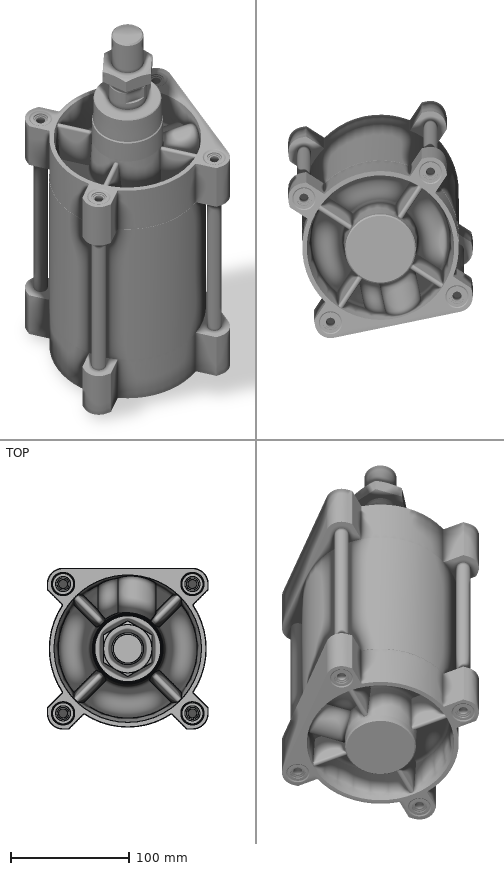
import cadquery as cq
import math

spigot_height = 6.2
cap_height = 44.5
barrel_length = 150.5
bearing_height = 22.0
collar_height = 25.0
total_height = 365.0
lower_cap_base = spigot_height
barrel_base = lower_cap_base + cap_height
upper_cap_base = barrel_base + barrel_length
upper_cap_top = upper_cap_base + cap_height
collar_base = upper_cap_top + bearing_height
collar_top = collar_base + collar_height

barrel_diameter = 133.0
cap_diameter = 132.5
cap_side = 136.0
lug_offset = 54.8
lug_half_width = 12.8
lug_radius = cap_side / 2 - lug_offset
lug_edge_radius = 1.0
tie_rod_diameter = 12.0
spigot_diameter = 60.0
spigot_chamfer = 1.0
collar_base_diameter = 58.5
collar_top_diameter = 57.3
collar_chamfer = 0.7

socket_rim_diameter = 19.7
socket_diameter = 18.0
socket_rim_depth = 0.7
socket_bore_diameter = 12.8
socket_bore_depth = 2.0
socket_seat_diameter = 10.2
socket_seat_depth = 2.5
socket_core_diameter = 7.5
socket_core_depth = 14.5

pocket_depth = 36.5
pocket_diameter = 125.0
hub_draft = 2.2
wall_draft = 3.5
pocket_floor_radius = 2.5
port_floor_depth = 31.0

rib_drop = 2.2
rib_top_width = 4.5
rib_base_width = 12.0

supply_boss = (7.5, 32.0, 7.3)
cushion_boss = (-12.8, 25.0, 20.0)

rod_diameter = 32.0
thread_diameter = 27.0
neck_diameter = 24.5
rod_shoulder = 311.0
thread_base = 314.0
thread_runout = 3.3
rod_end_chamfer = 1.28
flat_width = 27.0
flat_height = 11.3

nut_base = 319.7
nut_height = 12.8
nut_width = 41.0
nut_chamfer_height = 1.5

lug_centres = [(sx * lug_offset, sy * lug_offset) for sx in (-1, 1) for sy in (-1, 1)]


def port_sector():
    """Quarter wedge between the two diagonals on the +Y side."""
    return (
        cq.Workplane("XY")
        .polyline([(0, 0), (cap_side, cap_side), (-cap_side, cap_side)])
        .close()
        .extrude(cap_height)
    )


def lug_edge_points():
    """Places of the upright edges at the outer corners and roots of the lugs, save those on +Y."""
    corner = (cap_side / 2, cap_side / 2 - math.sqrt(2) * lug_half_width)
    root_angle = math.pi / 4 - math.asin(2 * lug_half_width / cap_diameter)
    root = (cap_diameter / 2 * math.cos(root_angle), cap_diameter / 2 * math.sin(root_angle))
    points = []
    for along, across in (corner, root):
        for side in (-1, 1):
            points.append((side * along, across))
            points.append((side * along, -across))
            points.append((side * across, -along))
    return points


def cap_blank():
    """Round cap with four diagonal lugs and one flat side on +Y."""
    square = (
        cq.Workplane("XY")
        .rect(cap_side, cap_side)
        .extrude(cap_height)
        .edges("|Z")
        .fillet(lug_radius)
    )
    blank = cq.Workplane("XY").circle(cap_diameter / 2).extrude(cap_height)
    for angle in (45, 135):
        arm = cq.Workplane("XY").rect(2 * cap_side, 2 * lug_half_width).extrude(cap_height)
        arm = arm.rotate((0, 0, 0), (0, 0, 1), angle)
        blank = blank.union(square.intersect(arm))
    blank = blank.union(square.intersect(port_sector()))
    for x, y in lug_edge_points():
        blank = blank.edges(cq.selectors.NearestToPointSelector((x, y, cap_height / 2)))
        blank = blank.fillet(lug_edge_radius)
    return blank


def pocket_ring(depth):
    """Ring-shaped pocket with drafted walls and rounded floor corners."""
    depth_ratio = depth / pocket_depth
    top = cap_height
    floor = cap_height - depth
    hub = spigot_diameter / 2
    wall = pocket_diameter / 2
    r = pocket_floor_radius
    bend = r * (1 - math.sqrt(0.5))
    hub_foot = hub + hub_draft * depth_ratio
    wall_foot = wall - wall_draft * depth_ratio
    return (
        cq.Workplane("XZ")
        .moveTo(hub, top)
        .lineTo(hub_foot, floor + r)
        .threePointArc((hub_foot + bend, floor + bend), (hub_foot + r, floor))
        .lineTo(wall_foot - r, floor)
        .threePointArc((wall_foot - bend, floor + bend), (wall_foot, floor + r))
        .lineTo(wall, top)
        .close()
        .revolve(360, (0, 0, 0), (0, 1, 0))
    )


def rib(angle):
    """Tapered rib with a round top that runs outward from the axis at the given angle."""
    half_top = rib_top_width / 2
    top = cap_height - rib_drop
    floor = cap_height - pocket_depth
    return (
        cq.Workplane("YZ")
        .moveTo(-rib_base_width / 2, floor)
        .lineTo(rib_base_width / 2, floor)
        .lineTo(half_top, top - half_top)
        .threePointArc((0, top), (-half_top, top - half_top))
        .close()
        .extrude(cap_side / 2)
        .rotate((0, 0, 0), (0, 0, 1), angle)
    )


def port_boss(x, diameter, crest_depth):
    """Round boss along +Y."""
    axis_height = cap_height - crest_depth - diameter / 2
    return (
        cq.Workplane("XZ")
        .center(x, axis_height)
        .circle(diameter / 2)
        .extrude(-cap_side / 2)
    )


def cap_pocket():
    """The space removed from the cap, leaving ribs, port bosses and a raised floor on +Y."""
    pocket = pocket_ring(pocket_depth).cut(port_sector())
    port_pocket = pocket_ring(port_floor_depth).intersect(port_sector())
    for boss in (supply_boss, cushion_boss):
        port_pocket = port_pocket.cut(port_boss(*boss))
    pocket = pocket.union(port_pocket)
    for angle in (45, 135, 225, 315):
        pocket = pocket.cut(rib(angle))
    return pocket


def tie_rod_socket(x, y):
    """Stepped socket with a conical rim, open at the outer face of the cap."""
    rim = socket_rim_diameter / 2
    top = cap_height
    profile = [
        (0, top),
        (rim, top),
        (socket_diameter / 2, top - socket_rim_depth),
        (socket_bore_diameter / 2, top - socket_rim_depth),
        (socket_bore_diameter / 2, top - socket_bore_depth),
        (socket_seat_diameter / 2, top - socket_bore_depth),
        (socket_seat_diameter / 2, top - socket_seat_depth),
        (socket_core_diameter / 2, top - socket_seat_depth),
        (socket_core_diameter / 2, top - socket_core_depth),
        (0, top - socket_core_depth),
    ]
    socket = cq.Workplane("XZ").polyline(profile).close().revolve(360, (0, 0, 0), (0, 1, 0))
    return socket.translate((x, y, 0))


def end_cap():
    """End cap with its inner face at Z = 0 and its outer face up."""
    cap = cap_blank().cut(cap_pocket())
    for x, y in lug_centres:
        cap = cap.cut(tie_rod_socket(x, y))
    return cap


def cylinder(diameter, base, height):
    return cq.Workplane("XY").workplane(offset=base).circle(diameter / 2).extrude(height)


def build_housing():
    """Barrel, both end caps, tie rods, rear spigot and rod bearing as one solid."""
    cap = end_cap()
    housing = cylinder(barrel_diameter, barrel_base, barrel_length)
    housing = housing.union(cap.translate((0, 0, upper_cap_base)))
    housing = housing.union(cap.mirror("XY").translate((0, 0, barrel_base)))
    for x, y in lug_centres:
        tie_rod = cylinder(tie_rod_diameter, barrel_base, barrel_length).translate((x, y, 0))
        housing = housing.union(tie_rod)
    spigot = cylinder(spigot_diameter, 0, spigot_height).faces("<Z").chamfer(spigot_chamfer)
    bearing = cylinder(spigot_diameter, upper_cap_top, bearing_height)
    bearing = bearing.faces(">Z").chamfer(spigot_chamfer)
    collar = (
        cq.Workplane("XY")
        .workplane(offset=collar_base)
        .circle(collar_base_diameter / 2)
        .workplane(offset=collar_height)
        .circle(collar_top_diameter / 2)
        .loft()
    )
    collar = collar.faces(">Z").chamfer(collar_chamfer)
    return housing.union(spigot).union(bearing).union(collar)


def build_piston_rod():
    """Rod standing on the collar, with wrench flats, an undercut neck and a plain thread."""
    radius = rod_diameter / 2
    thread = thread_diameter / 2
    neck = neck_diameter / 2
    profile = [
        (0, collar_top),
        (radius, collar_top),
        (radius, rod_shoulder),
        (neck, rod_shoulder),
        (neck, thread_base),
        (thread, thread_base + thread_runout),
        (thread, total_height - rod_end_chamfer),
        (thread - rod_end_chamfer, total_height),
        (0, total_height),
    ]
    rod = cq.Workplane("XZ").polyline(profile).close().revolve(360, (0, 0, 0), (0, 1, 0))
    flat_base = rod_shoulder - flat_height
    for side in (-1, 1):
        beyond_flat = (
            cq.Workplane("XY")
            .workplane(offset=flat_base)
            .center(side * (flat_width + rod_diameter) / 2, 0)
            .rect(rod_diameter, 2 * rod_diameter)
            .extrude(flat_height)
        )
        rod = rod.cut(beyond_flat)
    return rod


def build_nut():
    """Hexagon nut with two flats facing X, bored to the thread diameter."""
    corner_diameter = nut_width / math.cos(math.pi / 6)
    nut = (
        cq.Workplane("XY")
        .workplane(offset=nut_base)
        .polygon(6, corner_diameter)
        .extrude(nut_height)
        .rotate((0, 0, 0), (0, 0, 1), 30)
    )
    corner = corner_diameter / 2
    top = nut_base + nut_height
    envelope = (
        cq.Workplane("XZ")
        .polyline([
            (0, nut_base),
            (corner, nut_base),
            (corner, top - nut_chamfer_height),
            (nut_width / 2, top),
            (0, top),
        ])
        .close()
        .revolve(360, (0, 0, 0), (0, 1, 0))
    )
    return nut.intersect(envelope).cut(cylinder(thread_diameter, nut_base, nut_height))


housing = build_housing()
piston_rod = build_piston_rod()
nut = build_nut()
result = cq.Compound.makeCompound([housing.val(), piston_rod.val(), nut.val()])